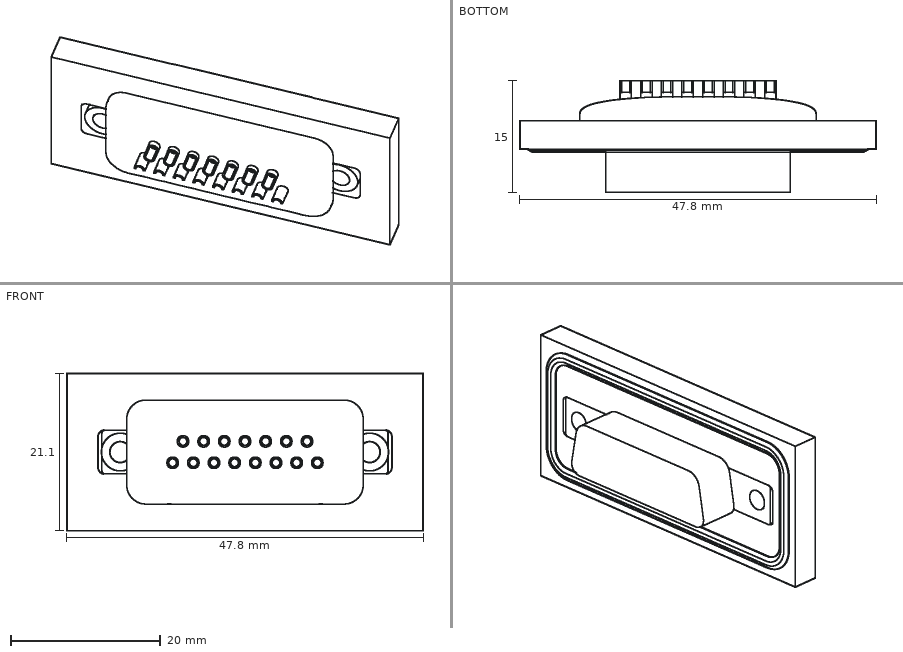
import cadquery as cq
import math


PANEL_LENGTH = 47.8
PANEL_HEIGHT = 21.1
PANEL_THICKNESS = 3.8
SLOT_LENGTH = 39.35
SLOT_HEIGHT = 5.9
SLOT_CORNER_RADIUS = 0.85

OVERALL_DEPTH = 15.0
SHELL_WIDTH = 24.75
SHELL_HEIGHT = 7.95
SHELL_SIDE_ANGLE = 10.0
SHELL_TOP_RADIUS = 2.05
SHELL_BOTTOM_RADIUS = 1.45

FLANGE_END_GAP = 0.5
FLANGE_THICKNESS = 0.95
BOSS_RADIUS = 2.55
BOSS_RECESS = 0.3
MOUNT_HOLE_RADIUS = 1.4
MOUNT_HOLE_OFFSET = 16.7

PIN_RADIUS = 0.75
PIN_BORE_RADIUS = 0.53
PIN_BORE_DEPTH = 2.15
PIN_LENGTH = 5.35
PIN_CUT_LENGTH = 1.6
PIN_PITCH = 2.75
PIN_ROW_OFFSET = 1.45
TOP_PIN_COUNT = 7
BOTTOM_PIN_COUNT = 8

CAP_LENGTH = 31.73
CAP_HEIGHT = 13.95
CAP_CORNER_RADIUS = 2.6
CAP_RIM = 0.65
CAP_RISE = 3.2
DOME_FULLNESS = 2.7
DOME_SECTIONS = 12
DOME_CROWDING = 1.3
DOME_TIP_SCALE = 0.02

SEAL_WIDTH = 1.7
SEAL_TOP_WIDTH = 0.55
SEAL_EDGE_HEIGHT = 0.15
SEAL_THICKNESS = 0.45
SEAL_MARGIN = 1.15
SEAL_OUTER_CORNER = 3.95


def workplane_at(y):
    """XZ workplane at depth y; its positive extrusion runs toward -Y."""
    return cq.Workplane("XZ", origin=(0, y, 0))


def rounded_block(length, height, corner_radius, front, depth):
    """Block with rounded corners, reaching back from the depth 'front'."""
    block = workplane_at(front).rect(length, height).extrude(-depth)
    return block.edges("|Y").fillet(corner_radius)


def rounded_outline(length, height, corner_radius, y):
    """Wire of a rounded rectangle lying at depth y."""
    block = rounded_block(length, height, corner_radius, y, PANEL_THICKNESS)
    return block.faces("<Y").wires().val()


def shell_block():
    """D-shaped block from the panel's front face to the mating end."""
    angle = math.radians(SHELL_SIDE_ANGLE)
    bottom_half = (
        SHELL_WIDTH / 2 - SHELL_BOTTOM_RADIUS
        + SHELL_BOTTOM_RADIUS * (1 + math.sin(angle)) / math.cos(angle)
    )
    top_half = bottom_half - SHELL_HEIGHT * math.tan(angle)
    half_height = SHELL_HEIGHT / 2
    outline = [
        (-bottom_half, -half_height),
        (bottom_half, -half_height),
        (top_half, half_height),
        (-top_half, half_height),
    ]
    block = workplane_at(0).polyline(outline).close().extrude(PIN_LENGTH - OVERALL_DEPTH)
    block = block.edges("|Y and >Z").fillet(SHELL_TOP_RADIUS)
    return block.edges("|Y and <Z").fillet(SHELL_BOTTOM_RADIUS)


def pin_places():
    """(x, z) of every pin: seven in the top row and eight in the bottom row."""
    places = []
    for count, z in ((TOP_PIN_COUNT, PIN_ROW_OFFSET), (BOTTOM_PIN_COUNT, -PIN_ROW_OFFSET)):
        for i in range(count):
            places.append(((i - (count - 1) / 2) * PIN_PITCH, z))
    return places


def make_pin(x, z):
    """Solder-cup pin, open on the side away from the other row."""
    pin = workplane_at(0).center(x, z).circle(PIN_RADIUS).extrude(PIN_LENGTH)
    bore = (
        workplane_at(PIN_BORE_DEPTH - PIN_LENGTH)
        .center(x, z).circle(PIN_BORE_RADIUS).extrude(PIN_BORE_DEPTH)
    )
    outward = math.copysign(PIN_RADIUS, z)
    cut = (
        workplane_at(PIN_CUT_LENGTH - PIN_LENGTH)
        .center(x, z + outward).rect(2 * PIN_RADIUS, 2 * PIN_RADIUS).extrude(PIN_CUT_LENGTH)
    )
    return pin.cut(bore).cut(cut)


def make_connector():
    """Shell, flange, two drilled mounting bosses and all the pins, as one solid."""
    flange_front = PANEL_THICKNESS - FLANGE_THICKNESS
    mounts = [(-MOUNT_HOLE_OFFSET, 0), (MOUNT_HOLE_OFFSET, 0)]
    connector = shell_block()
    flange = rounded_block(
        SLOT_LENGTH - 2 * FLANGE_END_GAP,
        SLOT_HEIGHT,
        SLOT_CORNER_RADIUS - FLANGE_END_GAP,
        flange_front,
        FLANGE_THICKNESS,
    )
    bosses = workplane_at(flange_front).pushPoints(mounts).circle(BOSS_RADIUS)
    connector = connector.union(flange).union(bosses.extrude(flange_front - BOSS_RECESS))
    holes = workplane_at(0).pushPoints(mounts).circle(MOUNT_HOLE_RADIUS).extrude(-PANEL_THICKNESS)
    connector = connector.cut(holes)
    for x, z in pin_places():
        connector = connector.union(make_pin(x, z))
    return connector


def make_seal():
    """Strip with sloped shoulders, following a rounded rectangle around the opening."""
    inset = 2 * SEAL_MARGIN + SEAL_WIDTH
    path_height = PANEL_HEIGHT - inset
    path = rounded_outline(
        PANEL_LENGTH - inset, path_height, SEAL_OUTER_CORNER - SEAL_WIDTH / 2, PANEL_THICKNESS
    )
    half_width = SEAL_WIDTH / 2
    half_top = SEAL_TOP_WIDTH / 2
    section = (
        cq.Workplane("YZ", origin=(0, PANEL_THICKNESS, path_height / 2))
        .moveTo(0, -half_width)
        .lineTo(SEAL_EDGE_HEIGHT, -half_width)
        .lineTo(SEAL_THICKNESS, -half_top)
        .lineTo(SEAL_THICKNESS, half_top)
        .lineTo(SEAL_EDGE_HEIGHT, half_width)
        .lineTo(0, half_width)
        .close()
    )
    return section.sweep(cq.Workplane(path))


def make_panel():
    """Flat panel with one opening: the slot joined with the shell outline."""
    panel = workplane_at(0).rect(PANEL_LENGTH, PANEL_HEIGHT).extrude(-PANEL_THICKNESS)
    slot = rounded_block(SLOT_LENGTH, SLOT_HEIGHT, SLOT_CORNER_RADIUS, 0, PANEL_THICKNESS)
    return panel.cut(slot).cut(shell_block())


def make_potting_cap():
    """Rim and dome; every dome section is the rim outline scaled about its center."""
    rim = rounded_block(CAP_LENGTH, CAP_HEIGHT, CAP_CORNER_RADIUS, -CAP_RIM, CAP_RIM)
    dome_rise = CAP_RISE - CAP_RIM
    sections = []
    for i in range(DOME_SECTIONS):
        step = i / (DOME_SECTIONS - 1)
        scale = 1 - (1 - DOME_TIP_SCALE) * step**DOME_CROWDING
        rise = dome_rise * (1 - scale**DOME_FULLNESS) ** (1 / DOME_FULLNESS)
        sections.append(
            rounded_outline(
                CAP_LENGTH * scale, CAP_HEIGHT * scale, CAP_CORNER_RADIUS * scale, -CAP_RIM - rise
            )
        )
    cap = rim.union(cq.Workplane(cq.Solid.makeLoft(sections)))
    pin_holes = workplane_at(0).pushPoints(pin_places()).circle(PIN_RADIUS).extrude(PIN_LENGTH)
    return cap.cut(pin_holes)


panel = make_panel()
seal = make_seal()
connector = make_connector()
potting_cap = make_potting_cap()

result = cq.Compound.makeCompound([panel.val(), seal.val(), connector.val(), potting_cap.val()])